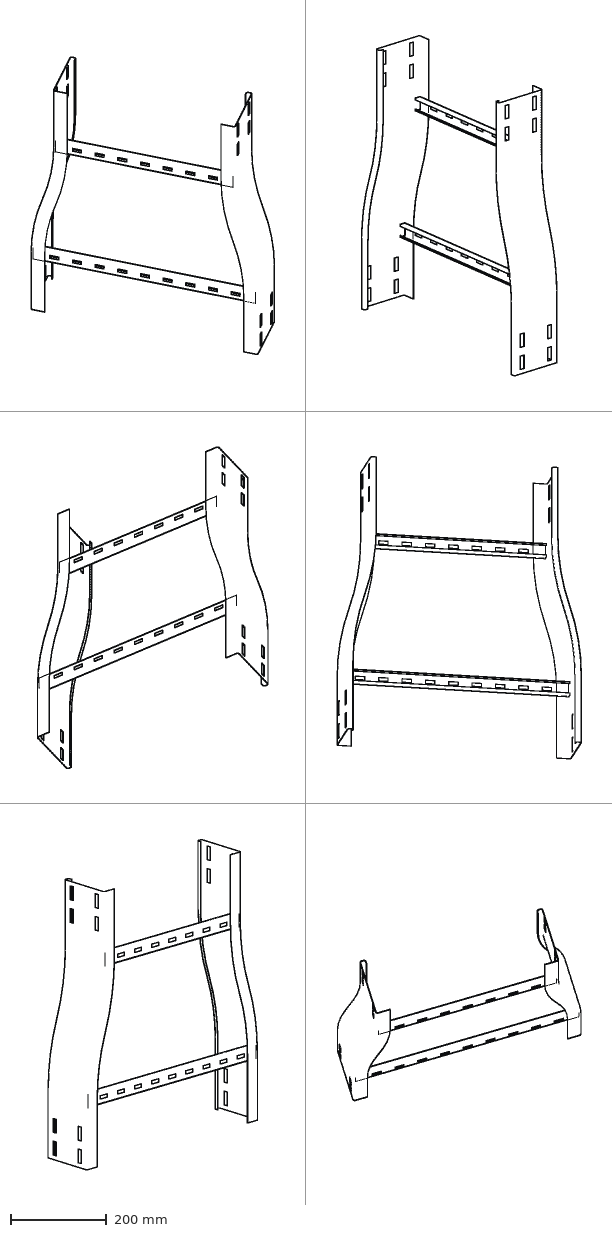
import cadquery as cq

LENGTH = 600.0
DEPTH = 120.0
WIDTH = 500.0
STEP = 50.0
WIDE_HALF = WIDTH / 2
NARROW_HALF = WIDE_HALF - STEP

RAIL_SHEET = 1.7
RAIL_BEND_RADIUS = 5.0
FRONT_FLANGE = 31.0
REAR_FLANGE = 13.0
REAR_LIP = 10.0

S_BEND_HALF = LENGTH / 4

RAIL_SLOT_LENGTH = 30.0
RAIL_SLOT_WIDTH = 9.5
RAIL_SLOT_SPACING = 75.0
RAIL_SLOT_END_DISTANCES = (25.0, 75.0)

RUNG_SHEET = 1.5
RUNG_BEND_RADIUS = 2.0
RUNG_HEIGHT = 30.0
RUNG_DEPTH = 15.0
RUNG_LIP = 5.0
RUNG_INSET = 5.5
RUNG_Z = S_BEND_HALF

RUNG_SLOT_LENGTH = 20.0
RUNG_SLOT_HEIGHT = 7.0
RUNG_SLOT_PITCH = 50.0
RUNG_SLOT_SHIFT = 1.0
UPPER_SLOT_COUNT = 7
LOWER_SLOT_COUNT = 9

POINT_TOLERANCE = 0.0005


def round_corners(face, corners, radius):
    """Round the corners of a flat face that lie at the given points."""
    vertices = [
        vertex
        for vertex in face.Vertices()
        if any((vertex.Center() - corner).Length < POINT_TOLERANCE for corner in corners)
    ]
    return face.fillet2D(radius, vertices)


def folded_section(outer_points, plane, sheet, bend_radius):
    """Section of a folded sheet; its outer face follows the points and every fold turns left."""
    points = [cq.Vector(x, y, 0) for x, y in outer_points]
    directions = [(b - a).normalized() for a, b in zip(points, points[1:])]
    normals = [cq.Vector(-d.y, d.x, 0) * sheet for d in directions]
    outer_folds = points[1:-1]
    inner_folds = [p + a + b for p, a, b in zip(outer_folds, normals, normals[1:])]
    inner_points = [points[0] + normals[0], *inner_folds, points[-1] + normals[-1]]

    outline = cq.Wire.makePolygon(points + inner_points[::-1], close=True)
    face = cq.Face.makeFromWires(outline)
    face = round_corners(face, outer_folds, bend_radius)
    face = round_corners(face, inner_folds, bend_radius - sheet)
    return cq.Workplane(plane).add(face.outerWire().moved(cq.Location(plane))).toPending()


def rail_path():
    """Line of the left rail's outer face from bottom to top."""
    lower_end = (-WIDE_HALF, -S_BEND_HALF)
    middle = (-(WIDE_HALF + NARROW_HALF) / 2, 0)
    upper_end = (-NARROW_HALF, S_BEND_HALF)
    return (
        cq.Workplane("XZ")
        .moveTo(-WIDE_HALF, -LENGTH / 2)
        .lineTo(*lower_end)
        .tangentArcPoint(middle, relative=False)
        .tangentArcPoint(upper_end, relative=False)
        .lineTo(-NARROW_HALF, LENGTH / 2)
    )


def make_left_rail():
    plane = cq.Plane(origin=(-WIDE_HALF, 0, -LENGTH / 2))
    outer_points = [
        (REAR_FLANGE, DEPTH / 2 - REAR_LIP),
        (REAR_FLANGE, DEPTH / 2),
        (0, DEPTH / 2),
        (0, -DEPTH / 2),
        (FRONT_FLANGE, -DEPTH / 2),
    ]
    rail = folded_section(outer_points, plane, RAIL_SHEET, RAIL_BEND_RADIUS).sweep(rail_path())

    slot_heights = [LENGTH / 2 - distance for distance in RAIL_SLOT_END_DISTANCES]
    slot_centers = [
        (y, side * z)
        for y in (-RAIL_SLOT_SPACING / 2, RAIL_SLOT_SPACING / 2)
        for z in slot_heights
        for side in (-1, 1)
    ]
    slots = (
        cq.Workplane("YZ", origin=(-WIDE_HALF, 0, 0))
        .pushPoints(slot_centers)
        .rect(RAIL_SLOT_WIDTH, RAIL_SLOT_LENGTH)
        .extrude(STEP + 2 * RAIL_SHEET)
    )
    return rail.cut(slots)


def make_rung(half_width, z, slot_count):
    """Rung between rails whose outer faces are half_width from the centre, at height z."""
    half_length = half_width - RUNG_INSET
    front = RAIL_SHEET - DEPTH / 2
    rear = front + RUNG_DEPTH
    top = RUNG_HEIGHT / 2
    plane = cq.Plane(origin=(-half_length, 0, z), xDir=(0, 1, 0), normal=(1, 0, 0))
    outer_points = [
        (rear, top - RUNG_LIP),
        (rear, top),
        (front, top),
        (front, -top),
        (rear, -top),
        (rear, RUNG_LIP - top),
    ]
    rung = folded_section(outer_points, plane, RUNG_SHEET, RUNG_BEND_RADIUS).extrude(2 * half_length)

    slots = (
        cq.Workplane("XZ", origin=(RUNG_SLOT_SHIFT, rear, z))
        .rarray(RUNG_SLOT_PITCH, 6, slot_count, 1)
        .rect(RUNG_SLOT_LENGTH, RUNG_SLOT_HEIGHT)
        .extrude(RUNG_DEPTH)
    )
    return rung.cut(slots)


left_rail = make_left_rail()
right_rail = left_rail.mirror("YZ")

rungs = [
    make_rung(half_width, z, slot_count).val()
    for half_width, z, slot_count in (
        (NARROW_HALF, RUNG_Z, UPPER_SLOT_COUNT),
        (WIDE_HALF, -RUNG_Z, LOWER_SLOT_COUNT),
    )
]

result = cq.Compound.makeCompound([left_rail.val(), right_rail.val(), *rungs])